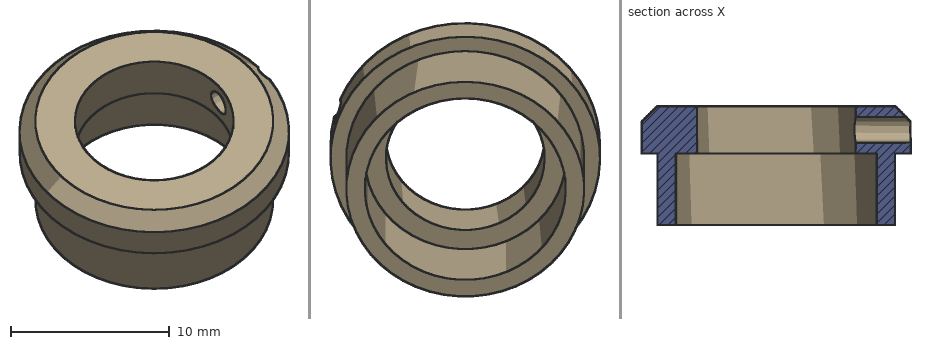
import cadquery as cq

total_height = 7.5
flange_diameter = 17.0
flange_height = 3.0
flange_chamfer = 1.0
sleeve_diameter = 15.0

bore_diameter = 10.0
counterbore_diameter = 12.67

radial_hole_diameter = 1.6

sleeve_height = total_height - flange_height
radial_hole_height = sleeve_height + flange_height / 2


def make_body():
    """Sleeve standing on Z = 0 with a chamfered flange on top."""
    sleeve = cq.Workplane("XY").circle(sleeve_diameter / 2).extrude(sleeve_height)
    flange = (
        cq.Workplane("XY")
        .workplane(offset=sleeve_height)
        .circle(flange_diameter / 2)
        .extrude(flange_height)
        .faces(">Z")
        .edges()
        .chamfer(flange_chamfer)
    )
    return sleeve.union(flange)


def make_stepped_bore():
    """Bore along the full height, widened below the flange."""
    bore = cq.Workplane("XY").circle(bore_diameter / 2).extrude(total_height)
    counterbore = cq.Workplane("XY").circle(counterbore_diameter / 2).extrude(sleeve_height)
    return bore.union(counterbore)


def make_radial_hole():
    """Cylinder from the part axis outward along +Y."""
    return (
        cq.Workplane("XZ")
        .center(0, radial_hole_height)
        .circle(radial_hole_diameter / 2)
        .extrude(-flange_diameter)
    )


result = make_body().cut(make_stepped_bore()).cut(make_radial_hole())